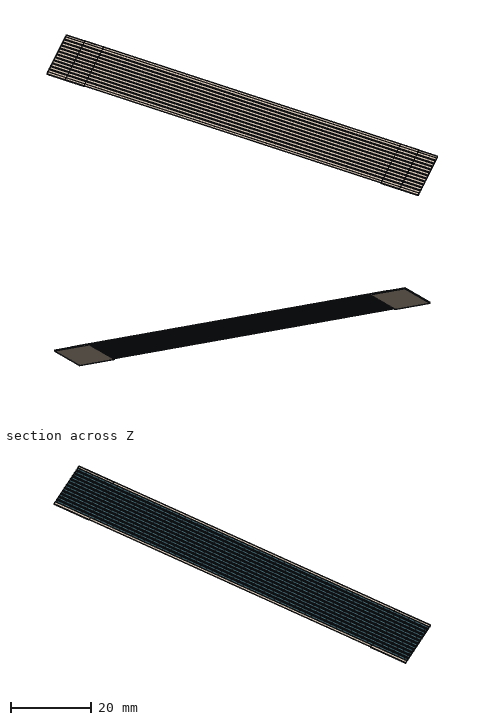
import cadquery as cq

length = 100.0
width = 13.0
total_height = 0.36

conductor_count = 12
pitch = 1.0
conductor_width = 0.7
conductor_height = 0.02

film_height = 0.05
exposed_length = 5.0
stiffener_length = 10.0
stiffener_height = total_height - 2 * film_height - conductor_height

base_level = stiffener_height
conductor_level = base_level + film_height
cover_level = conductor_level + conductor_height


def layer(size_x, size_y, height, level, x=0.0, y=0.0):
    """Flat strip centred on x, y with its underside at the given level."""
    strip = cq.Workplane("XY").box(size_x, size_y, height, centered=(True, True, False))
    return strip.translate((x, y, level))


base_film = layer(length, width, film_height, base_level)
cover_film = layer(length - 2 * exposed_length, width, film_height, cover_level)
result = base_film.union(cover_film)

for index in range(conductor_count):
    conductor_y = (index - (conductor_count - 1) / 2) * pitch
    conductor = layer(length, conductor_width, conductor_height, conductor_level, y=conductor_y)
    result = result.union(conductor)

for side in (-1, 1):
    stiffener_x = side * (length - stiffener_length) / 2
    result = result.union(layer(stiffener_length, width, stiffener_height, 0.0, x=stiffener_x))